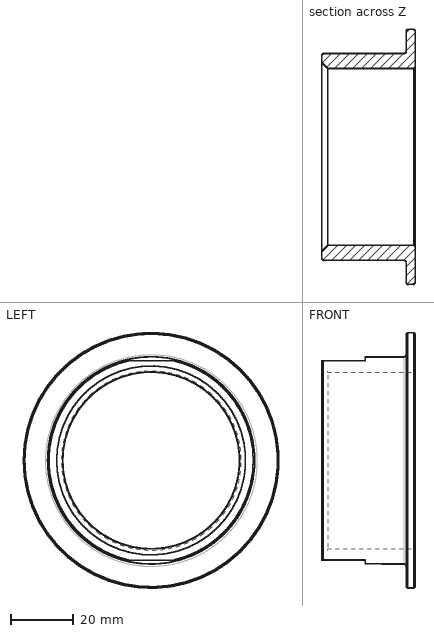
import cadquery as cq

total_length = 30.0
flange_diameter = 82.0
flange_thickness = 2.95
flange_chamfer = 0.5
sleeve_diameter = 66.5
sleeve_chamfer = 0.5
root_fillet = 0.7
bore_diameter = 56.7
bore_chamfer = 2.0
bore_flange_chamfer = 0.5

flat_length = 13.9
across_flats = 64.0

flange_face_x = total_length - flange_thickness


def disc(start_x, length, diameter):
    """Solid cylinder along +X."""
    return cq.Workplane("YZ").workplane(offset=start_x).circle(diameter / 2).extrude(length)


def flanged_body():
    """Solid sleeve and flange, revolved from half of the lengthwise section."""
    sleeve_radius = sleeve_diameter / 2
    flange_radius = flange_diameter / 2
    profile = (
        cq.Workplane("XY")
        .moveTo(0, 0)
        .lineTo(0, sleeve_radius - sleeve_chamfer)
        .lineTo(sleeve_chamfer, sleeve_radius)
        .lineTo(flange_face_x - root_fillet, sleeve_radius)
        .radiusArc((flange_face_x, sleeve_radius + root_fillet), -root_fillet)
        .lineTo(flange_face_x, flange_radius - flange_chamfer)
        .lineTo(flange_face_x + flange_chamfer, flange_radius)
        .lineTo(total_length - flange_chamfer, flange_radius)
        .lineTo(total_length, flange_radius - flange_chamfer)
        .lineTo(total_length, 0)
        .close()
    )
    return profile.revolve(360, (0, 0, 0), (1, 0, 0))


def cut_bore(body):
    """Through bore with 45 degree chamfers: wide at the free end, small at the flange."""
    body = body.cut(disc(0, total_length, bore_diameter))
    free_mouth = cq.Workplane("YZ").circle(bore_diameter / 2 + bore_chamfer)
    flange_mouth = (
        cq.Workplane("YZ")
        .workplane(offset=total_length)
        .circle(bore_diameter / 2 + bore_flange_chamfer)
    )
    body = body.cut(free_mouth.extrude(bore_chamfer, taper=45))
    return body.cut(flange_mouth.extrude(-bore_flange_chamfer, taper=45))


def cut_flats(body):
    """Flats facing +Z and -Z."""
    for side in (1, -1):
        cutter = cq.Workplane("XY").box(
            flat_length, flange_diameter, flange_diameter, centered=(False, True, True)
        )
        cutter = cutter.translate((0, 0, side * (across_flats + flange_diameter) / 2))
        body = body.cut(cutter)
    return body


result = cut_flats(cut_bore(flanged_body()))